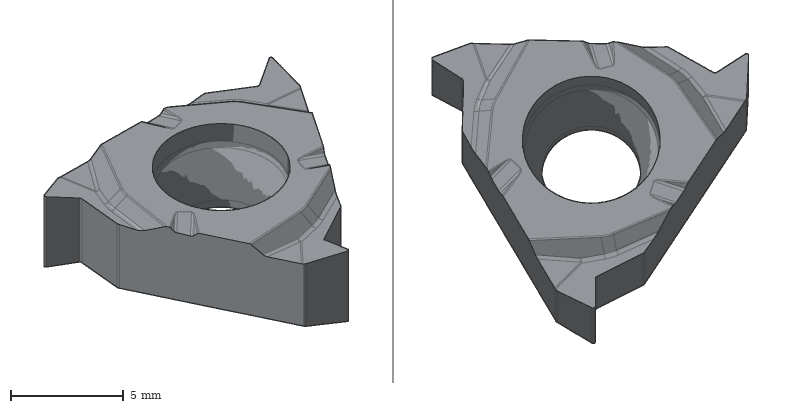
import cadquery as cq
import math

TOOTH_COUNT = 3
THICKNESS = 4.1
INSCRIBED_RADIUS = 9.525 / 2
OVERSIZE = 20.0
TOLERANCE = 0.01

FLANK_START_Y = -5.48
TIP_X = -3.776
TIP_RADIUS = 0.09
FLANK_HALF_ANGLE = 28.53
SHOULDER_Y = -5.77
VALLEY_RADIUS = 0.15
CORNER_RADIUS = 0.25

RAKE_ANGLE = 15.0
RAKE_HEIGHT_AT_SHOULDER = 3.67
SIDE_FLOOR_HEIGHT = 3.56
SIDE_FLOOR_ANGLE = 5.6
WALL_BEND = (-1.61, -4.44)
SIDE_WALL_DIRECTION = -25.8
SHOULDER_WALL_DIRECTION = -3.8
WALL_SLOPE = 41.0
WALL_BEND_RADIUS = 2.3
POCKET_FLOOR_RADIUS = 0.25
POCKET_LIMIT_MIN = (-6.5, -8.5)
POCKET_LIMIT_MAX = (3.0, -1.0)
POCKET_LIMIT_TOP = THICKNESS + 0.5
POCKET_RIM_RADIUS = 0.12

NOTCH_END = (-3.51, 0.57)
NOTCH_DIRECTION = 16.0
NOTCH_FLOOR_WIDTH = 0.78
NOTCH_FLOOR_ANGLE = 10.5
NOTCH_SIDE_SLOPE = 45.0
NOTCH_FLOOR_RADIUS = 0.2
NOTCH_RIM_RADIUS = 0.1
NOTCH_RIM_REACH = 1.0

BORE_RADIUS = 4.4 / 2
HEAD_RADIUS = 6.14 / 2
HEAD_DEPTH = 1.18
SEAT_ARC_RADIUS = 4.0
SEAT_EDGE_RADIUS = 0.5


def tangent(degrees):
    return math.tan(math.radians(degrees))


def polar(angle):
    return math.cos(math.radians(angle)), math.sin(math.radians(angle))


def turned(point, index):
    """Plan point moved to the corner with the given index."""
    c, s = polar(index * 360 / TOOTH_COUNT)
    return point[0] * c - point[1] * s, point[0] * s + point[1] * c


def cut_at_each_corner(body, cutter):
    for index in range(TOOTH_COUNT):
        body = body.cut(cutter.rotate((0, 0, 0), (0, 0, 1), index * 360 / TOOTH_COUNT))
    return body


def space_above(point, rise):
    """Block on the upper side of the plane through point that climbs by rise = (per X, per Y)."""
    plane = cq.Plane(origin=point, normal=(-rise[0], -rise[1], 1))
    return cq.Workplane(plane).rect(2 * OVERSIZE, 2 * OVERSIZE).extrude(OVERSIZE)


def make_blank():
    flank_drop = 1 / tangent(FLANK_HALF_ANGLE)
    flank_start = (-INSCRIBED_RADIUS, FLANK_START_Y)
    tip = (TIP_X, FLANK_START_Y - (TIP_X + INSCRIBED_RADIUS) * flank_drop)
    valley = (TIP_X + (SHOULDER_Y - tip[1]) / flank_drop, SHOULDER_Y)
    side_x, side_y = polar(360 / TOOTH_COUNT - 180)
    shoulder_end = ((INSCRIBED_RADIUS - SHOULDER_Y * side_y) / side_x, SHOULDER_Y)
    corner = [flank_start, tip, valley, shoulder_end]
    radii = [CORNER_RADIUS, TIP_RADIUS, VALLEY_RADIUS, CORNER_RADIUS]

    outline = [turned(point, index) for index in range(TOOTH_COUNT) for point in corner]
    blank = cq.Workplane("XY").polyline(outline).close().extrude(THICKNESS)
    for index in range(TOOTH_COUNT):
        for point, radius in zip(corner, radii):
            x, y = turned(point, index)
            edge = cq.selectors.NearestToPointSelector((x, y, THICKNESS / 2))
            blank = blank.edges("|Z").edges(edge).fillet(radius)
    return blank


def space_outside_wall(direction):
    """Space above a sloped pocket wall whose rim passes through the wall bend."""
    along_x, along_y = polar(direction)
    climb = tangent(WALL_SLOPE)
    rim_point = (*WALL_BEND, THICKNESS)
    return space_above(rim_point, (-along_y * climb, along_x * climb))


def make_pocket():
    rake = space_above((0, SHOULDER_Y, RAKE_HEIGHT_AT_SHOULDER), (0, -tangent(RAKE_ANGLE)))
    side_floor = space_above((-INSCRIBED_RADIUS, 0, SIDE_FLOOR_HEIGHT), (-tangent(SIDE_FLOOR_ANGLE), 0))
    walls = space_outside_wall(SIDE_WALL_DIRECTION).union(space_outside_wall(SHOULDER_WALL_DIRECTION))
    x_min, y_min = POCKET_LIMIT_MIN
    x_max, y_max = POCKET_LIMIT_MAX
    limits = cq.Workplane("XY").box(x_max - x_min, y_max - y_min, POCKET_LIMIT_TOP, centered=False)
    limits = limits.translate((x_min, y_min, 0))
    pocket = limits.intersect(walls).intersect(rake).intersect(side_floor)
    bend = cq.selectors.NearestToPointSelector((*WALL_BEND, THICKNESS))
    pocket = pocket.edges(bend).fillet(WALL_BEND_RADIUS)
    inner = cq.selectors.BoxSelector(
        (x_min + TOLERANCE, y_min + TOLERANCE, 0),
        (x_max - TOLERANCE, y_max - TOLERANCE, THICKNESS),
    )
    return pocket.edges(inner).fillet(POCKET_FLOOR_RADIUS)


def round_pocket_rims(body):
    """Round the edges where the pocket walls reach the top face."""
    for index in range(TOOTH_COUNT):
        x, y = turned(WALL_BEND, index)
        bend = cq.selectors.NearestToPointSelector((x, y, THICKNESS))
        body = body.faces(">Z").edges(bend).fillet(POCKET_RIM_RADIUS)
    return body


def make_notch():
    """Tapered groove running in from the side, its floor rising to the top face at the inner end."""
    length = THICKNESS
    height = THICKNESS / 2
    half_floor = NOTCH_FLOOR_WIDTH / 2
    half_top = half_floor + height / tangent(NOTCH_SIDE_SLOPE)
    section = [(-half_floor, 0), (half_floor, 0), (half_top, height), (-half_top, height)]
    along_x, along_y = polar(NOTCH_DIRECTION)
    fall = tangent(NOTCH_FLOOR_ANGLE)
    plane = cq.Plane(
        origin=(*NOTCH_END, THICKNESS),
        xDir=(along_y, -along_x, 0),
        normal=(-along_x, -along_y, -fall),
    )
    notch = cq.Workplane(plane).polyline(section).close().extrude(length)
    for side in (-half_floor, half_floor):
        corner = plane.toWorldCoords((side, 0, length / 2)).toTuple()
        notch = notch.edges(cq.selectors.NearestToPointSelector(corner)).fillet(NOTCH_FLOOR_RADIUS)
    return notch


def round_notch_rims(body):
    """Round the edges between each notch and the top face."""
    end_x, end_y = NOTCH_END
    rim = cq.selectors.BoxSelector(
        (-INSCRIBED_RADIUS + TOLERANCE, end_y - NOTCH_RIM_REACH, THICKNESS - TOLERANCE),
        (end_x + NOTCH_RIM_REACH, end_y + NOTCH_RIM_REACH, THICKNESS + TOLERANCE),
    )
    for _ in range(TOOTH_COUNT):
        body = body.faces(">Z").edges(rim).fillet(NOTCH_RIM_RADIUS)
        body = body.rotate((0, 0, 0), (0, 0, 1), 360 / TOOTH_COUNT)
    return body


def make_screw_hole():
    """Solid of the hole: a straight head recess, then a seat arc that runs tangent into the through bore."""
    seat_radius = HEAD_RADIUS - BORE_RADIUS
    seat_angle = math.degrees(math.acos(1 - seat_radius / SEAT_ARC_RADIUS))
    head_z = THICKNESS - HEAD_DEPTH
    arc_center_x = BORE_RADIUS + SEAT_ARC_RADIUS

    def seat_x(angle):
        return arc_center_x - SEAT_ARC_RADIUS * polar(angle)[0]

    arc_center_z = head_z - SEAT_ARC_RADIUS * polar(seat_angle)[1]
    mid_z = arc_center_z + SEAT_ARC_RADIUS * polar(seat_angle / 2)[1]
    hole = (
        cq.Workplane("XZ")
        .moveTo(0, 0)
        .lineTo(BORE_RADIUS, 0)
        .lineTo(BORE_RADIUS, arc_center_z)
        .threePointArc((seat_x(seat_angle / 2), mid_z), (HEAD_RADIUS, head_z))
        .lineTo(HEAD_RADIUS, THICKNESS)
        .lineTo(0, THICKNESS)
        .close()
        .revolve(360, (0, 0), (0, 1))
    )
    seat_edge = cq.selectors.NearestToPointSelector((0, 0, head_z))
    return hole.edges(seat_edge).fillet(SEAT_EDGE_RADIUS)


result = make_blank()
result = cut_at_each_corner(result, make_pocket())
result = round_pocket_rims(result)
result = cut_at_each_corner(result, make_notch())
result = round_notch_rims(result)
result = result.cut(make_screw_hole())